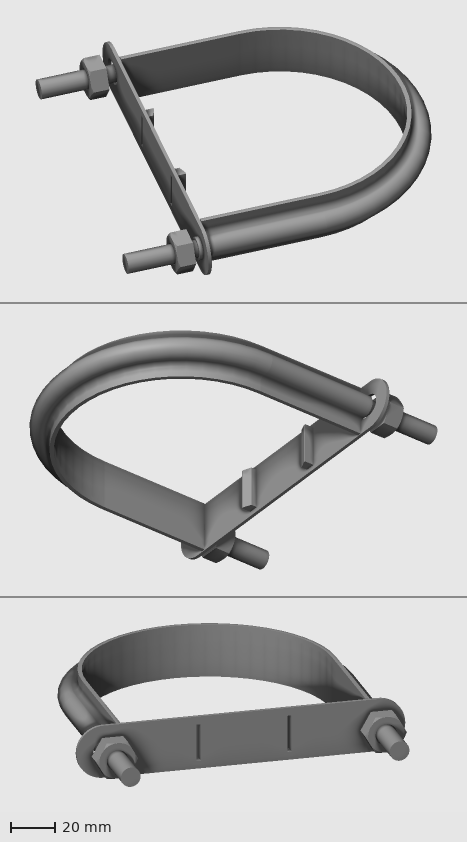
import cadquery as cq
import math

LEG_X = 63.0
ARCH_CENTER_Y = 58.5
OVERALL_LENGTH = 162.2
WIDTH = 25.0

PLATE_LENGTH = 154.0
PLATE_THICKNESS = 1.6
LONG_HOLE_STRETCH = 2.3
PLATE_CENTER_X = -1.5

TAB_INNER_X = 18.8
TAB_WIDTH = 4.9
TAB_RISE = 4.7
TAB_RIDGE_WIDTH = 1.0
TAB_SLOPE_DROP = 1.6
TAB_WALL = 1.5
TAB_CAVITY_HEIGHT = 17.4

SLEEVE_DIAMETER = 10.9
SLEEVE_BORE = 8.5
BAND_THICKNESS = 2.0
SLEEVE_BLEND_RADIUS = 2.5
LINER_GAP = 0.3
COLLAR_LENGTH = 1.8
BAND_INNER_X = 57.4
BAND_OUTER_X = BAND_INNER_X + BAND_THICKNESS

SHANK_DIAMETER = 8.3
THREAD_DIAMETER = 9.2
BOLT_END_Y = ARCH_CENTER_Y + LEG_X + SLEEVE_DIAMETER / 2 - OVERALL_LENGTH

NUT_ACROSS_FLATS = 17.0
NUT_THICKNESS = 8.3
NUT_TOP_Y = -4.9
NUT_BORE = 10.0
NUT_CHAMFER_ANGLE = 30


def rod(diameter, x, y_start, y_end):
    """Cylinder along Y between two Y positions."""
    circle = cq.Workplane("XZ", origin=(x, y_start, 0)).circle(diameter / 2)
    return circle.extrude(y_start - y_end)


def u_sweep(section, leg_end_y):
    """Sweep a section function's outline up one leg, round the arch and down the other, between leg ends."""
    path = (
        cq.Workplane("XY")
        .moveTo(LEG_X, leg_end_y)
        .lineTo(LEG_X, ARCH_CENTER_Y)
        .threePointArc((0, ARCH_CENTER_Y + LEG_X), (-LEG_X, ARCH_CENTER_Y))
        .lineTo(-LEG_X, leg_end_y)
    )
    return section(leg_end_y).sweep(path)


def leg_section_plane(y):
    """Section plane across the right leg; local x is global X and local y is global Z."""
    return cq.Workplane("XZ", origin=(LEG_X, y, 0))


def liner_section(y):
    """Band and sleeve outline, joined by concave blends, with x measured from the leg axis."""
    sleeve_r = SLEEVE_DIAMETER / 2
    band_in = BAND_INNER_X - LEG_X
    band_out = BAND_OUTER_X - LEG_X
    half_width = WIDTH / 2

    blend_x = band_out + SLEEVE_BLEND_RADIUS
    centre_distance = sleeve_r + SLEEVE_BLEND_RADIUS
    blend_z = math.sqrt(centre_distance ** 2 - blend_x ** 2)
    touch_x = blend_x * sleeve_r / centre_distance
    touch_z = blend_z * sleeve_r / centre_distance
    touch_angle = math.atan2(touch_z - blend_z, touch_x - blend_x)
    mid_angle = (touch_angle - math.pi) / 2
    mid_x = blend_x + SLEEVE_BLEND_RADIUS * math.cos(mid_angle)
    mid_z = blend_z + SLEEVE_BLEND_RADIUS * math.sin(mid_angle)
    return (
        leg_section_plane(y)
        .moveTo(band_in, -half_width)
        .lineTo(band_out, -half_width)
        .lineTo(band_out, -blend_z)
        .threePointArc((mid_x, -mid_z), (touch_x, -touch_z))
        .threePointArc((sleeve_r, 0), (touch_x, touch_z))
        .threePointArc((mid_x, mid_z), (band_out, blend_z))
        .lineTo(band_out, half_width)
        .lineTo(band_in, half_width)
        .close()
    )


def shank_section(y):
    """Circle of the unthreaded part of the U-bolt."""
    return leg_section_plane(y).circle(SHANK_DIAMETER / 2)


def bore_section(y):
    """Circle of the bore through the liner's sleeve."""
    return leg_section_plane(y).circle(SLEEVE_BORE / 2)


def make_liner():
    """Band and sleeve with a bore for the U-bolt; the sleeve continues through the plate on the right leg."""
    end_y = PLATE_THICKNESS + LINER_GAP
    body = u_sweep(liner_section, end_y).cut(u_sweep(bore_section, end_y))
    collar = rod(SLEEVE_DIAMETER, LEG_X, end_y, -COLLAR_LENGTH)
    collar = collar.cut(rod(SLEEVE_BORE, LEG_X, end_y, -COLLAR_LENGTH))
    return body.union(collar, clean=False)


def make_u_bolt():
    """Thin U-shaped shank with a thicker threaded length at both ends."""
    bolt = u_sweep(shank_section, NUT_TOP_Y)
    for x in (-LEG_X, LEG_X):
        bolt = bolt.union(rod(THREAD_DIAMETER, x, NUT_TOP_Y, BOLT_END_Y))
    return bolt


def tab_solid(side):
    """Wedge-topped block on the plate; side is +1 or -1, and its sloping top falls towards the middle."""
    outer_x = TAB_INNER_X + TAB_WIDTH
    top_y = PLATE_THICKNESS + TAB_RISE
    points = [
        (TAB_INNER_X, 0),
        (outer_x, 0),
        (outer_x, top_y),
        (outer_x - TAB_RIDGE_WIDTH, top_y),
        (TAB_INNER_X, top_y - TAB_SLOPE_DROP),
    ]
    outline = cq.Workplane("XY").polyline([(side * x, y) for x, y in points]).close()
    return outline.extrude(TAB_CAVITY_HEIGHT / 2 + TAB_WALL, both=True)


def tab_cavity(side):
    """Slot from the plate's outer face into a tab; its floor is parallel to the tab's sloping top."""
    slope = TAB_SLOPE_DROP / (TAB_WIDTH - TAB_RIDGE_WIDTH)
    inner_x = TAB_INNER_X + TAB_WALL
    outer_x = TAB_INNER_X + TAB_WIDTH - TAB_WALL
    floor_y = PLATE_THICKNESS + TAB_RISE - TAB_SLOPE_DROP - TAB_WALL
    points = [
        (inner_x, 0),
        (outer_x, 0),
        (outer_x, floor_y + slope * (outer_x - TAB_INNER_X)),
        (inner_x, floor_y + slope * (inner_x - TAB_INNER_X)),
    ]
    outline = cq.Workplane("XY").polyline([(side * x, y) for x, y in points]).close()
    return outline.extrude(TAB_CAVITY_HEIGHT / 2, both=True)


def make_plate():
    """Round-ended plate with a round hole, a long hole and two hollow tabs."""
    plate = (
        cq.Workplane("XZ")
        .center(PLATE_CENTER_X, 0)
        .slot2D(PLATE_LENGTH, WIDTH)
        .extrude(-PLATE_THICKNESS)
    )
    round_hole = rod(SLEEVE_DIAMETER, LEG_X, PLATE_THICKNESS, 0)
    long_hole = (
        cq.Workplane("XZ")
        .center(-LEG_X - LONG_HOLE_STRETCH / 2, 0)
        .slot2D(SLEEVE_DIAMETER + LONG_HOLE_STRETCH, SLEEVE_DIAMETER)
        .extrude(-PLATE_THICKNESS)
    )
    plate = plate.cut(round_hole).cut(long_hole)
    for side in (-1, 1):
        plate = plate.union(tab_solid(side)).cut(tab_cavity(side))
    return plate


def make_nut(x):
    """Hexagon nut on one leg, chamfered on the face away from the plate."""
    across_corners = NUT_ACROSS_FLATS / math.cos(math.radians(30))
    bottom_y = NUT_TOP_Y - NUT_THICKNESS
    nut = (
        cq.Workplane("XZ", origin=(x, NUT_TOP_Y, 0))
        .polygon(6, across_corners)
        .circle(NUT_BORE / 2)
        .extrude(NUT_THICKNESS)
    )
    flat_r = NUT_ACROSS_FLATS / 2
    cone_r = flat_r + NUT_THICKNESS / math.tan(math.radians(NUT_CHAMFER_ANGLE))
    cone = (
        cq.Workplane("XY", origin=(x, bottom_y, 0))
        .polyline([(0, 0), (flat_r, 0), (cone_r, NUT_THICKNESS), (0, NUT_THICKNESS)])
        .close()
        .revolve(360, (0, 0, 0), (0, 1, 0))
    )
    return nut.intersect(cone)


liner = make_liner()
u_bolt = make_u_bolt()
plate = make_plate()
nuts = [make_nut(x) for x in (-LEG_X, LEG_X)]

result = cq.Compound.makeCompound([
    liner.val(),
    u_bolt.val(),
    plate.val(),
    *[nut.val() for nut in nuts],
])